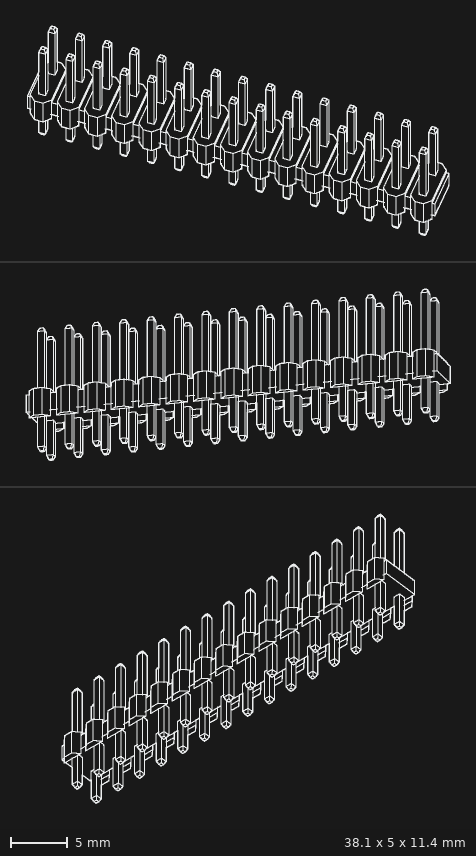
import cadquery as cq

pitch = 2.54
columns = 15
rows = 2

block_width = 2.0
block_depth = 5.0
block_height = 2.5
corner_cut = 0.6

bar_length = columns * pitch
bar_depth = block_depth - 2 * corner_cut
bar_height = 1.6
bar_top_recess = 0.35
bar_bottom = block_height - bar_top_recess - bar_height

pin_width = 0.64
pin_total_length = 11.4
pin_tail_length = 3.0
tip_length = 0.35
tip_width = 0.32


def centred_positions(count):
    """Positions of equally pitched features, centred on zero."""
    return [(index - (count - 1) / 2) * pitch for index in range(count)]


def make_bar():
    bar = cq.Workplane("XY").box(bar_length, bar_depth, bar_height, centered=(True, True, False))
    return bar.translate((0, 0, bar_bottom))


def make_block():
    """Octagonal block with a channel underneath that leaves a foot at each Y end."""
    half_width = block_width / 2
    half_depth = block_depth / 2
    half_flat = half_width - corner_cut
    half_side = half_depth - corner_cut
    outline = [
        (half_flat, half_depth),
        (half_width, half_side),
        (half_width, -half_side),
        (half_flat, -half_depth),
        (-half_flat, -half_depth),
        (-half_width, -half_side),
        (-half_width, half_side),
        (-half_flat, half_depth),
    ]
    block = cq.Workplane("XY").polyline(outline).close().extrude(block_height)
    channel = cq.Workplane("XY").box(block_width, bar_depth, bar_bottom, centered=(True, True, False))
    return block.cut(channel)


def make_pin():
    """Square pin whose two ends taper to small flat tips."""
    half_pin = pin_width / 2
    half_tip = tip_width / 2
    bottom = -pin_tail_length
    top = bottom + pin_total_length
    profile = [
        (-half_tip, bottom),
        (half_tip, bottom),
        (half_pin, bottom + tip_length),
        (half_pin, top - tip_length),
        (half_tip, top),
        (-half_tip, top),
        (-half_pin, top - tip_length),
        (-half_pin, bottom + tip_length),
    ]
    across_x = cq.Workplane("XZ").polyline(profile).close().extrude(half_pin, both=True)
    across_y = cq.Workplane("YZ").polyline(profile).close().extrude(half_pin, both=True)
    return across_x.intersect(across_y)


def make_header():
    block = make_block()
    pin = make_pin()
    header = make_bar()
    for x in centred_positions(columns):
        header = header.union(block.translate((x, 0, 0)))
        for y in centred_positions(rows):
            header = header.union(pin.translate((x, y, 0)))
    return header


result = make_header()